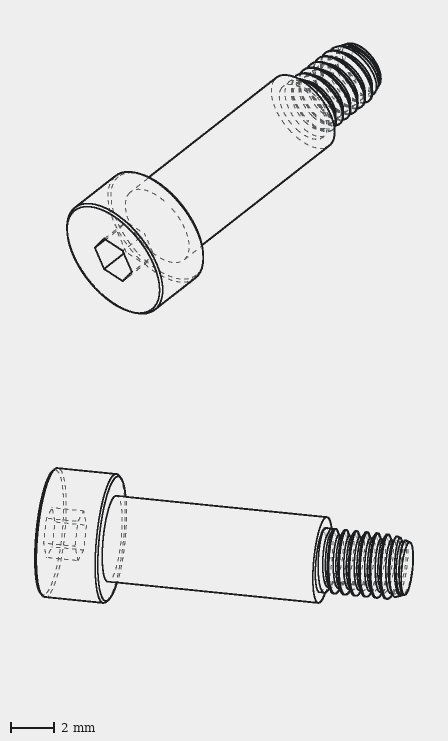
import cadquery as cq
import math

total_length = 17.01
head_diameter = 6.0
head_length = 3.0
head_chamfer = 0.1
shoulder_diameter = 4.0
shoulder_length = 10.0
thread_length = total_length - head_length - shoulder_length
socket_flats = 2.0
socket_depth = head_length / 2

thread_diameter = 3.0
thread_radius = thread_diameter / 2
thread_pitch = thread_diameter / 6
flank_slope = math.tan(math.radians(30))
crest_width = thread_pitch / 8
root_width = thread_pitch / 4
thread_depth = (thread_pitch - crest_width - root_width) / (2 * flank_slope)
root_radius = thread_radius - thread_depth
tip_chamfer_length = 0.78
groove_start = 0.24
cutter_overshoot = 0.03

thread_plane = cq.Plane(
    origin=(0, head_length + shoulder_length, 0), xDir=(0, 0, 1), normal=(0, 1, 0)
)


def cylinder(diameter, start, length):
    """Cylinder along +Y beginning at Y = start."""
    plane = cq.Plane(origin=(0, start, 0), xDir=(1, 0, 0), normal=(0, 1, 0))
    return cq.Workplane(plane).circle(diameter / 2).extrude(length)


def groove_profile():
    """Trapezoidal groove section in the local XZ plane."""
    cutter_radius = thread_radius + cutter_overshoot
    root_half = root_width / 2
    outer_half = root_half + (cutter_radius - root_radius) * flank_slope
    return cq.Workplane("XZ").polyline([
        (root_radius, groove_start - root_half),
        (cutter_radius, groove_start - outer_half),
        (cutter_radius, groove_start + outer_half),
        (root_radius, groove_start + root_half),
    ]).close()


def thread_stud():
    """Stud with a tapered tip and a right-hand groove running out along a tangent."""
    stud = (
        cq.Workplane("XZ")
        .moveTo(0, 0)
        .lineTo(thread_radius, 0)
        .lineTo(thread_radius, thread_length - tip_chamfer_length)
        .lineTo(root_radius, thread_length)
        .lineTo(0, thread_length)
        .close()
        .revolve(360, (0, 0, 0), (0, 1, 0))
    )
    helix = cq.Wire.makeHelix(
        thread_pitch, thread_pitch, root_radius, center=cq.Vector(0, 0, groove_start)
    )
    groove_turn = groove_profile().sweep(cq.Workplane(helix), isFrenet=True)
    runout = groove_profile().extrude(thread_radius)
    stud = stud.cut(runout)
    turn_count = math.ceil((thread_length - groove_start) / thread_pitch)
    for turn in range(turn_count):
        stud = stud.cut(groove_turn.translate((0, 0, turn * thread_pitch)))
    return stud.val().moved(cq.Location(thread_plane))


head = cylinder(head_diameter, 0, head_length).edges().chamfer(head_chamfer)
shoulder = cylinder(shoulder_diameter, head_length, shoulder_length)

socket_corners = socket_flats / math.cos(math.radians(30))
socket = cq.Workplane("XZ").polygon(6, socket_corners).extrude(-socket_depth)

result = head.union(shoulder).union(cq.Workplane(thread_stud())).cut(socket)